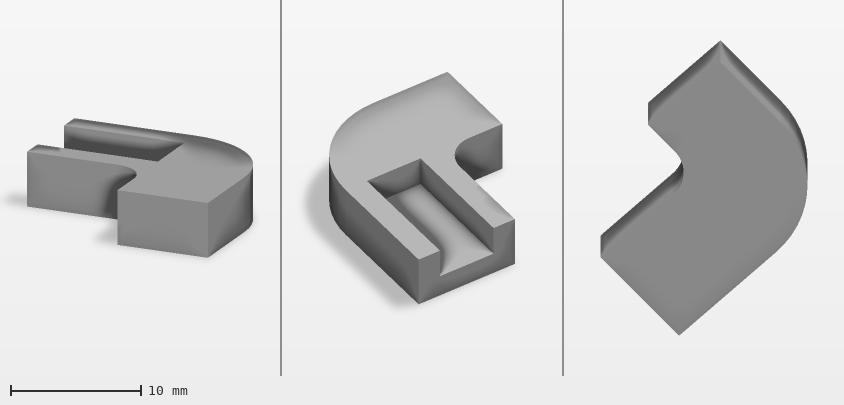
import cadquery as cq

length_x = 17.78
length_y = 14.478
thickness = 4.445

slotted_arm_width = 8.89
plain_arm_width = 7.62
outer_radius = 7.62
inner_radius = 2.54

slot_length = 10.16
slot_width = 4.953
slot_depth = 2.54

inner_corner_x = length_x - plain_arm_width
inner_corner_y = length_y - slotted_arm_width
slot_center_y = inner_corner_y + slotted_arm_width / 2


def make_elbow():
    """Solid L-shaped body with rounded outer and inner corners."""
    body = (
        cq.Workplane("XY")
        .moveTo(0, length_y)
        .lineTo(length_x - outer_radius, length_y)
        .radiusArc((length_x, length_y - outer_radius), outer_radius)
        .lineTo(length_x, 0)
        .lineTo(inner_corner_x, 0)
        .lineTo(inner_corner_x, inner_corner_y - inner_radius)
        .radiusArc((inner_corner_x - inner_radius, inner_corner_y), -inner_radius)
        .lineTo(0, inner_corner_y)
        .close()
        .extrude(thickness)
    )
    return body


def make_slot():
    """Block removed from the top face, open at the end of the slotted arm."""
    return cq.Workplane("XY").box(
        slot_length, slot_width, slot_depth, centered=(False, True, False)
    ).translate((0, slot_center_y, thickness - slot_depth))


result = make_elbow().cut(make_slot())